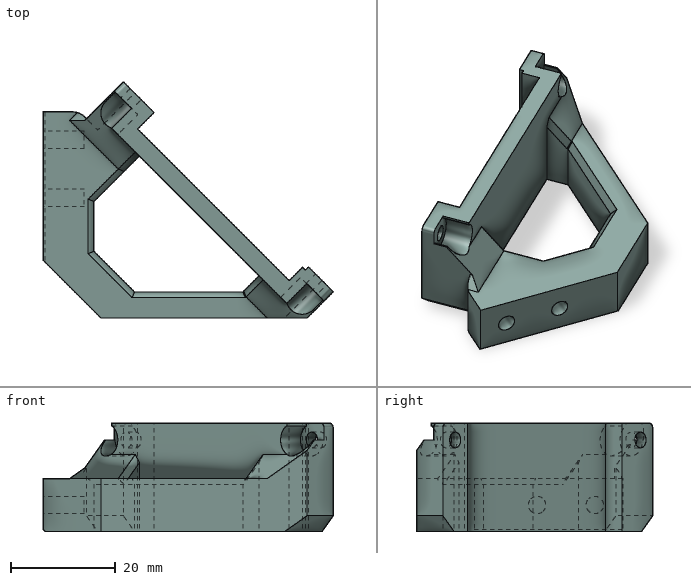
import cadquery as cq
import math

LENGTH_X = 55.3
LENGTH_Y = 45.0
HEIGHT = 20.7

PLATE_ANGLE = -45.0
EAR_BACK_V = 42.65
PLATE_BACK_V = 38.2
PLATE_FRONT_V = 34.8
LOW_END_U = EAR_BACK_V - LENGTH_Y * math.sqrt(2)
HIGH_END_U = LENGTH_X * math.sqrt(2) - EAR_BACK_V
LOW_EAR_LENGTH = 8.3
HIGH_EAR_LENGTH = 7.45
EAR_STEP_LENGTH = 0.8
EAR_STEP_DEPTH = 0.85
END_FILLET = 1.0
END_CHAMFER = 3.05

FRAME_HEIGHT = 10.1
FRAME_TOP_Y = 39.3
OUTER_BEVEL = 11.0
CORNER_START_X = 5.55
CORNER_END_V = 32.7
FOOT_CHAMFER = 0.4
INNER_X = 9.7
INNER_Y = 5.0
INNER_BEVEL = 7.75
OPENING_LOW_U = -8.85
OPENING_HIGH_U = 23.4
OPENING_CHAMFER = 1.1
RIM_MARGIN = 0.3

GUSSET_FOOT_V = 30.2
FLARE_LENGTH = 2.05

SCREW_HEIGHT = 17.5
SCREW_INSET = 3.3
SCREW_DIAMETER = 3.0
SEAT_DIAMETER = 6.1
SEAT_V = 40.15
SLOT_HALF_WIDTH = 1.4

MOUNT_DIAMETER = 3.3
MOUNT_DEPTH = 7.75
MOUNT_HEIGHT = 5.1
MOUNT_YS = (22.95, 33.95)


def to_part(shape):
    """Turn a shape from plate axes (u, v, z) into part axes."""
    return shape.rotate((0, 0, 0), (0, 0, 1), PLATE_ANGLE)


def box_between(u_limits, v_limits, z_limits):
    """Box in plate axes, from the two limits along each axis."""
    u_low, u_high = sorted(u_limits)
    v_low, v_high = v_limits
    z_low, z_high = z_limits
    box = cq.Workplane("XY").box(u_high - u_low, v_high - v_low, z_high - z_low, centered=False)
    return box.translate((u_low, v_low, z_low))


def prism_along_u(points, u_limits):
    """Prism in plate axes with a (v, z) profile."""
    u_low, u_high = sorted(u_limits)
    profile = cq.Workplane("YZ", origin=(u_low, 0, 0)).polyline(points).close()
    return profile.extrude(u_high - u_low)


def slope_height(v):
    """Height of the gusset slope at position v."""
    return FRAME_HEIGHT + v - GUSSET_FOOT_V


def make_plate():
    low_ear_u = LOW_END_U + LOW_EAR_LENGTH
    high_ear_u = HIGH_END_U - HIGH_EAR_LENGTH
    step_v = EAR_BACK_V - EAR_STEP_DEPTH
    outline = [
        (LOW_END_U, PLATE_FRONT_V),
        (HIGH_END_U, PLATE_FRONT_V),
        (HIGH_END_U, EAR_BACK_V),
        (high_ear_u + EAR_STEP_LENGTH, EAR_BACK_V),
        (high_ear_u + EAR_STEP_LENGTH, step_v),
        (high_ear_u, step_v),
        (high_ear_u, PLATE_BACK_V),
        (low_ear_u, PLATE_BACK_V),
        (low_ear_u, EAR_BACK_V),
        (LOW_END_U, EAR_BACK_V),
    ]
    plate = cq.Workplane("XY").polyline(outline).close().extrude(HEIGHT)
    return plate.faces("<X or >X").edges(">Z").fillet(END_FILLET)


def plan_point(u, v):
    """Part (x, y) of a point given in plate axes."""
    return ((u + v) / math.sqrt(2), (v - u) / math.sqrt(2))


def make_outline_solid(height):
    """Frame outline, filled up to the plate front, raised to the given height."""
    outline = (
        cq.Workplane("XY")
        .moveTo(*plan_point(LOW_END_U, PLATE_FRONT_V))
        .lineTo(PLATE_FRONT_V * math.sqrt(2), 0)
        .lineTo(OUTER_BEVEL, 0)
        .lineTo(0, OUTER_BEVEL)
        .lineTo(0, FRAME_TOP_Y)
        .lineTo(CORNER_START_X, FRAME_TOP_Y)
        .tangentArcPoint(plan_point(LOW_END_U, CORNER_END_V), relative=False)
        .close()
    )
    return outline.extrude(height)


def make_gusset(end_u, opening_u, inner_side):
    """Sloped block from end_u to opening_u; inner_side selects its face on the opening."""
    profile = [
        (GUSSET_FOOT_V, 0),
        (PLATE_FRONT_V, 0),
        (PLATE_FRONT_V, slope_height(PLATE_FRONT_V)),
        (GUSSET_FOOT_V, FRAME_HEIGHT),
    ]
    gusset = prism_along_u(profile, (end_u, opening_u))
    slope_edge = gusset.faces(inner_side).edges(">Z")
    return slope_edge.chamfer(OPENING_CHAMFER)


def make_gussets():
    """Both gussets, trimmed to the frame outline, the low one with a 45 degree flared end."""
    flare_u = LOW_END_U - FLARE_LENGTH
    flare_profile = [
        (flare_u, 0),
        (OPENING_LOW_U, 0),
        (OPENING_LOW_U, HEIGHT),
        (LOW_END_U, HEIGHT),
        (LOW_END_U, FRAME_HEIGHT + FLARE_LENGTH),
        (flare_u, FRAME_HEIGHT),
    ]
    flare = cq.Workplane("XZ").polyline(flare_profile).close().extrude(-EAR_BACK_V)
    low_gusset = make_gusset(flare_u, OPENING_LOW_U, ">X").intersect(flare)
    high_gusset = make_gusset(HIGH_END_U, OPENING_HIGH_U, "<X")
    return to_part(low_gusset.union(high_gusset)).intersect(make_outline_solid(HEIGHT))


def make_frame():
    opening_points = [
        (INNER_X, INNER_Y + INNER_BEVEL),
        (INNER_X + INNER_BEVEL, INNER_Y),
        (INNER_Y + OPENING_HIGH_U * math.sqrt(2), INNER_Y),
        plan_point(OPENING_HIGH_U, PLATE_FRONT_V),
        plan_point(OPENING_LOW_U, PLATE_FRONT_V),
        (INNER_X, INNER_X - OPENING_LOW_U * math.sqrt(2)),
    ]
    opening = cq.Workplane("XY").polyline(opening_points).close().extrude(FRAME_HEIGHT)
    frame = make_outline_solid(FRAME_HEIGHT)
    frame = frame.faces("<X").edges("<Z").chamfer(FOOT_CHAMFER)
    frame = frame.cut(opening)

    rim = cq.selectors.BoxSelector(
        (INNER_X - RIM_MARGIN, INNER_Y - RIM_MARGIN, FRAME_HEIGHT - RIM_MARGIN),
        (LENGTH_X - INNER_X, FRAME_TOP_Y - INNER_Y, FRAME_HEIGHT + RIM_MARGIN),
    )
    frame = frame.edges(rim).chamfer(OPENING_CHAMFER)
    return frame.union(make_gussets())


def cut_screw_seat(plate, end_u, inward):
    """Cut one ear's screw hole, round seat and open slot; inward is +1 or -1 along u."""
    screw_u = end_u + inward * SCREW_INSET
    slot_u = screw_u + inward * SLOT_HALF_WIDTH
    screw_plane = cq.Workplane("XZ", origin=(screw_u, 0, SCREW_HEIGHT))
    seat = screw_plane.circle(SEAT_DIAMETER / 2).extrude(-SEAT_V)
    hole = screw_plane.circle(SCREW_DIAMETER / 2).extrude(-EAR_BACK_V)
    slot = box_between((end_u, slot_u), (0, SEAT_V), (SCREW_HEIGHT, HEIGHT))
    relief_top_v = GUSSET_FOOT_V + SCREW_HEIGHT - FRAME_HEIGHT
    relief = prism_along_u(
        [
            (PLATE_FRONT_V, slope_height(PLATE_FRONT_V)),
            (relief_top_v, SCREW_HEIGHT),
            (PLATE_FRONT_V, SCREW_HEIGHT),
        ],
        (end_u, screw_u),
    )
    for cutter in (seat, hole, slot, relief):
        plate = plate.cut(to_part(cutter))
    return plate


def chamfer_bottom_end(body, end_u, inward, front_v):
    """Bevel the bottom of one end, behind front_v."""
    profile = [(end_u, 0), (end_u + inward * END_CHAMFER, 0), (end_u, END_CHAMFER)]
    cutter = cq.Workplane("XZ", origin=(0, front_v, 0)).polyline(profile).close()
    return body.cut(to_part(cutter.extrude(front_v - EAR_BACK_V)))


def drill_mounting_holes(body):
    for y in MOUNT_YS:
        hole = cq.Workplane("YZ").center(y, MOUNT_HEIGHT).circle(MOUNT_DIAMETER / 2)
        body = body.cut(hole.extrude(MOUNT_DEPTH))
    return body


plate = to_part(make_plate())
plate = plate.intersect(cq.Workplane("XY").box(LENGTH_X, LENGTH_Y, HEIGHT, centered=False))
result = plate.union(make_frame())
result = chamfer_bottom_end(result, LOW_END_U, 1, CORNER_END_V)
result = chamfer_bottom_end(result, HIGH_END_U, -1, 0)
result = cut_screw_seat(result, LOW_END_U, 1)
result = cut_screw_seat(result, HIGH_END_U, -1)
result = drill_mounting_holes(result)